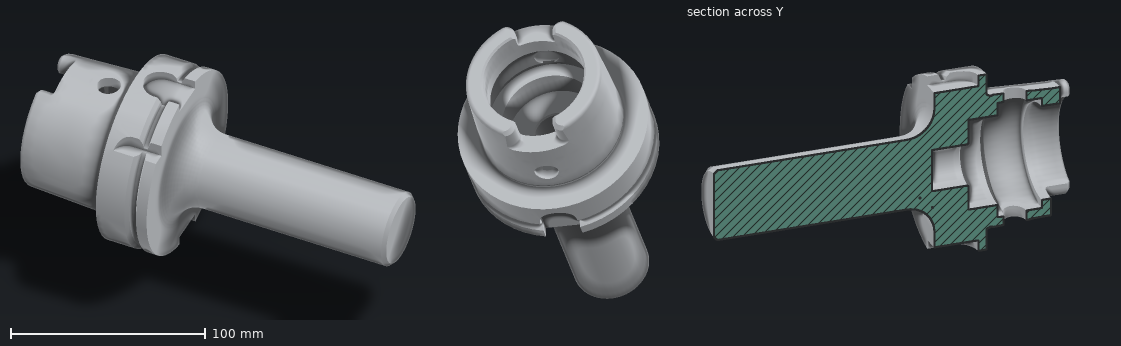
import cadquery as cq

total_length = 200.0
flange_radius = 50.0
flange_start = 50.2
flange_end = 79.0
shank_radius = 20.0
shank_chamfer = 2.0
neck_fillet = 15.0

taper_tip_radius = 35.5
taper_root_radius = 37.8
taper_end = 46.8
tip_fillet = 2.5
undercut_radius = 37.5
undercut_start = 47.5
undercut_end = 48.2
root_radius = taper_root_radius
root_fillet = 1.5

groove_start = 66.5
groove_end = 73.0
groove_floor_radius = 46.0
groove_floor_start = 69.0
groove_floor_end = 71.2
groove_bevel_depth = 2.0
groove_front_bevel = 2.0
groove_back_bevel = 1.0

bore_radius = 26.5
mouth_chamfer = 1.0
clamp_groove_start = 20.0
clamp_groove_radius = 31.2
relief_start = 40.0
relief_radius = 32.5
relief_end = 44.0
inner_bore_radius = 25.5
bore_depth = 60.0
coolant_radius = 11.5
coolant_chamfer = 0.8
coolant_depth = 20.0

cross_hole_diameter = 12.5
cross_hole_x = 34.5

notch_half_width = 9.8
notch_shoulder_height = 32.5
notch_shoulder_radius = 5.2
notch_clear = 40.0
notch_chamfer = 2.0
notch_corner_fillet = 1.8
upper_notch_depth = 9.8
lower_notch_depth = 14.5

slot_start = 54.8
keyway_width = 19.2
keyway_floor = 44.0
corner_notch_wall = 31.8
corner_notch_width = 16.5


def make_body():
    """Revolve the outer outline of taper, flange, neck and shank about X."""
    neck_end = flange_end + neck_fillet
    bevel_radius = flange_radius - groove_bevel_depth
    outline = (
        cq.Workplane("XY")
        .lineTo(0, taper_tip_radius)
        .lineTo(taper_end, taper_root_radius)
        .lineTo(undercut_start, undercut_radius)
        .lineTo(undercut_end, undercut_radius)
        .lineTo(flange_start - root_fillet, root_radius)
        .radiusArc((flange_start, root_radius + root_fillet), -root_fillet)
        .lineTo(flange_start, flange_radius)
        .lineTo(groove_start, flange_radius)
        .lineTo(groove_start + groove_front_bevel, bevel_radius)
        .lineTo(groove_floor_start, groove_floor_radius)
        .lineTo(groove_floor_end, groove_floor_radius)
        .lineTo(groove_end - groove_back_bevel, bevel_radius)
        .lineTo(groove_end, flange_radius)
        .lineTo(flange_end, flange_radius)
        .lineTo(flange_end, shank_radius + neck_fillet)
        .radiusArc((neck_end, shank_radius), -neck_fillet)
        .lineTo(total_length, shank_radius)
        .lineTo(total_length, 0)
        .close()
    )
    body = outline.revolve(360, (0, 0, 0), (1, 0, 0))
    body = body.faces(">X").edges().chamfer(shank_chamfer)
    return body.faces("<X").edges().fillet(tip_fillet)


def make_bore():
    """Stepped blind bore with chamfered mouths, as a solid to cut away."""
    coolant_mouth = coolant_radius + coolant_chamfer
    outline = (
        cq.Workplane("XY")
        .lineTo(0, bore_radius + mouth_chamfer)
        .lineTo(mouth_chamfer, bore_radius)
        .lineTo(clamp_groove_start, bore_radius)
        .lineTo(clamp_groove_start, clamp_groove_radius)
        .lineTo(relief_start, clamp_groove_radius)
        .lineTo(relief_start, relief_radius)
        .lineTo(relief_end, relief_radius)
        .lineTo(relief_end, inner_bore_radius)
        .lineTo(bore_depth, inner_bore_radius)
        .lineTo(bore_depth, coolant_mouth)
        .lineTo(bore_depth + coolant_chamfer, coolant_radius)
        .lineTo(bore_depth + coolant_depth, coolant_radius)
        .lineTo(bore_depth + coolant_depth, 0)
        .close()
    )
    return outline.revolve(360, (0, 0, 0), (1, 0, 0))


def notch_outline(grow):
    """Notch cross-section seen along X, widened outwards by grow."""
    half_width = notch_half_width + grow
    shoulder = notch_shoulder_height - grow
    radius = notch_shoulder_radius - grow
    return (
        cq.Workplane("YZ")
        .moveTo(-half_width, 0)
        .lineTo(-half_width, shoulder - radius)
        .radiusArc((-half_width - radius, shoulder), -radius)
        .lineTo(-notch_clear, shoulder)
        .lineTo(-notch_clear, notch_clear)
        .lineTo(notch_clear, notch_clear)
        .lineTo(notch_clear, shoulder)
        .lineTo(half_width + radius, shoulder)
        .radiusArc((half_width, shoulder - radius), -radius)
        .lineTo(half_width, 0)
        .close()
    )


def make_notch(depth):
    """Drive notch on the +Z side: rounded inner corners, chamfered mouth."""
    notch = notch_outline(0).extrude(depth)
    notch = notch.faces(">X").edges().fillet(notch_corner_fillet)
    mouth = notch_outline(notch_chamfer).extrude(notch_chamfer, taper=45)
    return notch.union(mouth)


def make_flange_slot(width):
    """Round-nosed slot running out through the back of the flange, from Z = 0 up."""
    radius = width / 2
    length = flange_end - slot_start
    nose = cq.Workplane("XY").center(slot_start + radius, 0).circle(radius).extrude(flange_radius)
    straight = cq.Workplane("XY").box(
        length - radius, width, flange_radius, centered=(False, True, False)
    )
    return nose.union(straight.translate((slot_start + radius, 0, 0)))


def flip(shape):
    """Turn a shape from the +Z side to the -Z side."""
    return shape.rotate((0, 0, 0), (1, 0, 0), 180)


result = make_body().cut(make_bore())

cross_hole = (
    cq.Workplane("XY")
    .center(cross_hole_x, 0)
    .circle(cross_hole_diameter / 2)
    .extrude(flange_radius, both=True)
)
result = result.cut(cross_hole)

result = result.cut(make_notch(upper_notch_depth))
result = result.cut(flip(make_notch(lower_notch_depth)))

keyway = make_flange_slot(keyway_width).translate((0, 0, keyway_floor))
result = result.cut(keyway).cut(flip(keyway))

corner_notch_centre = corner_notch_wall + corner_notch_width / 2
corner_notch = make_flange_slot(corner_notch_width)
result = result.cut(corner_notch.translate((0, -corner_notch_centre, corner_notch_wall)))